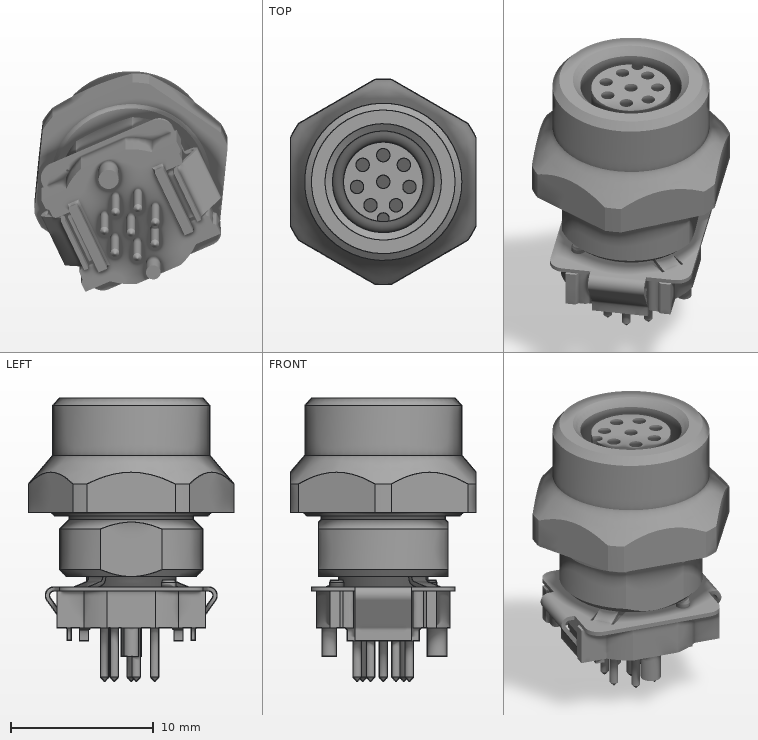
import cadquery as cq
import math


TOTAL_HEIGHT = 19.85
HOUSING_BOTTOM = 7.35
NECK_BOTTOM = 11.35
FLANGE_BOTTOM = 11.6
HEX_BOTTOM = 11.83
HEX_SLOPE_BOTTOM = 13.84
HEX_SLOPE_TOP = 15.85
SEAL_SEAT = 14.89
PLATE_TOP = 6.63
BASE_BOTTOM = 3.77
FOOT_BOTTOM = 2.85
LEG_BOTTOM = 1.77

HEX_ACROSS_FLATS = 13.0
HEX_CORNER_RADIUS = 14.4 / 2
COLLAR_RADIUS = 5.5
COLLAR_CHAMFER_WIDTH = 0.48
COLLAR_CHAMFER_DEPTH = 0.54
FLANGE_RADIUS = 5.6
FLANGE_TIP_RADIUS = 5.35
NECK_RADIUS = 4.35
BARREL_RADIUS = 5.02
BARREL_TOP_CHAMFER = BARREL_RADIUS - NECK_RADIUS
BARREL_BOTTOM_CHAMFER = 0.5
BARREL_ACROSS_FLATS = 9.07
MOUTH_RADIUS = 3.55
MOUTH_CHAMFER = 0.52

FACE_RADIUS = 2.78
FACE_TOP = TOTAL_HEIGHT - 0.7
SHANK_RADIUS = 3.14
CONTACT_CIRCLE_RADIUS = 1.87
CONTACT_SPACING_ANGLE = math.radians(50.5)
CONTACT_STEPS_EACH_WAY = 3
SOCKET_DIAMETER = 0.93
SOCKET_DEPTH = 2.38
PIN_RADIUS = 0.3
PIN_POINT_HEIGHT = 0.32
KEYWAY_RADIUS = 0.42
KEYWAY_CENTRE = 2.58
STUD_RADIUS = 0.5
STUD_CHAMFER_WIDTH = 0.05
STUD_CHAMFER_HEIGHT = 0.18
STUD_TOP = 7.1
STUD_PLACES = [(-3.25, -2.62), (3.25, 2.62)]
LEG_OFFSET = 3.77
SMALL_LEG_DIAMETER = 1.03
LARGE_LEG_DIAMETER = 1.4
BASE_HALF_WIDTH = 4.68
BASE_HALF_LENGTH = 5.2
BULGE_RADIUS = 4.98
SHOULDER_X = 3.73
PILLAR_INNER_X = 3.02
LEDGE_SETBACK = 0.2
LEDGE_INNER_X = 2.42
RECESS_LIP_RADIUS = 0.4
RECESS_HALF_WIDTH = 2.08
RECESS_Y = 3.63
BARB_WIDTH = 3.57
BARB_REACH = 0.4
BARB_EDGE_Z = 4.15
BARB_TOP = 4.65
FOOT_LENGTH = 5.05
FOOT_THICKNESS = 0.65
FOOT_FLARE = 0.15

SHEET = 0.3
PLATE_BOTTOM = PLATE_TOP - SHEET
PLATE_SIZE = 10.05
PLATE_CORNER_RADIUS = 1.03
CLIP_WIDTH = 3.97
CLIP_BEND_RADIUS = 0.6
CLIP_BEND_Y = 5.42
CLIP_LEAN = math.radians(35.5)
CLIP_TAIL_Y = 4.49
CLIP_TAIL_BEND_RADIUS = 0.3
CLIP_TAIL_BOTTOM = 2.9
TAB_ROOT = 5.15
TAB_BEND_START = 4.96
TAB_OUTER = 3.51
TAB_KNEE_HEIGHT = 7.07
TAB_KNEE_RADIUS = 0.34
TAB_WIDTH = 1.39
WINDOW_WIDTH = 1.79
TAB_ANGLES = (-45, 135)


def cylinder(radius, bottom, top, place=(0, 0)):
    """Upright cylinder between two heights."""
    return cq.Workplane("XY", origin=(*place, bottom)).circle(radius).extrude(top - bottom)


def revolve_profile(points):
    """Solid of revolution about Z from a closed (radius, height) profile."""
    return cq.Workplane("XZ").polyline(points).close().revolve(360, (0, 0), (0, 1))


def make_collar():
    """Round collar running down a cone into a hexagon with flats facing +X and -X."""
    profile = [
        (0, HEX_BOTTOM),
        (HEX_CORNER_RADIUS, HEX_BOTTOM),
        (HEX_CORNER_RADIUS, HEX_SLOPE_BOTTOM),
        (COLLAR_RADIUS, HEX_SLOPE_TOP),
        (COLLAR_RADIUS, TOTAL_HEIGHT - COLLAR_CHAMFER_DEPTH),
        (COLLAR_RADIUS - COLLAR_CHAMFER_WIDTH, TOTAL_HEIGHT),
        (0, TOTAL_HEIGHT),
    ]
    hex_across_corners = HEX_ACROSS_FLATS / math.cos(math.pi / 6)
    hexagon = (
        cq.Workplane("XY", origin=(0, 0, HEX_BOTTOM))
        .transformed(rotate=(0, 0, 30))
        .polygon(6, hex_across_corners)
        .extrude(TOTAL_HEIGHT - HEX_BOTTOM)
    )
    return revolve_profile(profile).intersect(hexagon)


def make_barrel():
    """Chamfered barrel with two flats, the neck above it and the tapered flange under the hexagon."""
    barrel = revolve_profile([
        (0, HOUSING_BOTTOM),
        (BARREL_RADIUS - BARREL_BOTTOM_CHAMFER, HOUSING_BOTTOM),
        (BARREL_RADIUS, HOUSING_BOTTOM + BARREL_BOTTOM_CHAMFER),
        (BARREL_RADIUS, NECK_BOTTOM - BARREL_TOP_CHAMFER),
        (NECK_RADIUS, NECK_BOTTOM),
        (0, NECK_BOTTOM),
    ])
    flats = cq.Workplane("XY", origin=(0, 0, HOUSING_BOTTOM)).rect(
        BARREL_ACROSS_FLATS, 2 * BARREL_RADIUS
    ).extrude(NECK_BOTTOM - HOUSING_BOTTOM)
    neck_and_flange = revolve_profile([
        (0, NECK_BOTTOM),
        (NECK_RADIUS, NECK_BOTTOM),
        (NECK_RADIUS, FLANGE_BOTTOM),
        (FLANGE_TIP_RADIUS, FLANGE_BOTTOM),
        (FLANGE_RADIUS, HEX_BOTTOM),
        (0, HEX_BOTTOM),
    ])
    return barrel.intersect(flats).union(neck_and_flange)


def make_housing():
    bore = revolve_profile([
        (0, HOUSING_BOTTOM),
        (SHANK_RADIUS, HOUSING_BOTTOM),
        (SHANK_RADIUS, SEAL_SEAT),
        (MOUTH_RADIUS, SEAL_SEAT),
        (MOUTH_RADIUS, TOTAL_HEIGHT - MOUTH_CHAMFER),
        (MOUTH_RADIUS + MOUTH_CHAMFER, TOTAL_HEIGHT),
        (0, TOTAL_HEIGHT),
    ])
    return make_collar().union(make_barrel()).cut(bore)


def make_o_ring():
    """Ring that fills the gap between the mouth of the housing and the insert."""
    ring_radius = (MOUTH_RADIUS + FACE_RADIUS) / 2
    section_radius = (MOUTH_RADIUS - FACE_RADIUS) / 2
    return (
        cq.Workplane("XZ")
        .center(ring_radius, SEAL_SEAT + section_radius)
        .circle(section_radius)
        .revolve(360, (-ring_radius, 0), (-ring_radius, 1))
    )


def contact_places():
    """The centre contact and the contacts around it, spaced both ways from the one on +Y."""
    places = [(0, 0)]
    for step in range(-CONTACT_STEPS_EACH_WAY, CONTACT_STEPS_EACH_WAY + 1):
        angle = step * CONTACT_SPACING_ANGLE
        places.append((CONTACT_CIRCLE_RADIUS * math.sin(angle), CONTACT_CIRCLE_RADIUS * math.cos(angle)))
    return places


def make_base_block():
    """Block with bulges that follow a circle about the axis and a clip recess at each end."""
    def on_bulge(angle):
        return (BULGE_RADIUS * math.cos(angle), BULGE_RADIUS * math.sin(angle))

    def on_lip(angle):
        return (
            LEDGE_INNER_X - RECESS_LIP_RADIUS * math.sin(angle),
            ledge_y - RECESS_LIP_RADIUS * (1 - math.cos(angle)),
        )

    bulge_start = math.acos(BASE_HALF_WIDTH / BULGE_RADIUS)
    bulge_end = math.acos(SHOULDER_X / BULGE_RADIUS)
    ledge_y = BASE_HALF_LENGTH - LEDGE_SETBACK
    lip_end = math.asin((LEDGE_INNER_X - RECESS_HALF_WIDTH) / RECESS_LIP_RADIUS)
    quarter = (
        cq.Workplane("XY", origin=(0, 0, BASE_BOTTOM))
        .lineTo(BASE_HALF_WIDTH, 0)
        .lineTo(*on_bulge(bulge_start))
        .threePointArc(on_bulge((bulge_start + bulge_end) / 2), on_bulge(bulge_end))
        .lineTo(SHOULDER_X, BASE_HALF_LENGTH)
        .lineTo(PILLAR_INNER_X, BASE_HALF_LENGTH)
        .lineTo(PILLAR_INNER_X - LEDGE_SETBACK, ledge_y)
        .lineTo(LEDGE_INNER_X, ledge_y)
        .threePointArc(on_lip(lip_end / 2), on_lip(lip_end))
        .lineTo(RECESS_HALF_WIDTH, RECESS_Y)
        .lineTo(0, RECESS_Y)
        .close()
        .extrude(PLATE_BOTTOM - BASE_BOTTOM)
    )
    half = quarter.union(quarter.mirror("YZ"))
    return half.union(half.mirror("XZ")).clean()


def make_barb():
    """Ramped block on the back wall of the +Y recess, behind the clip."""
    profile = [
        (RECESS_Y, BASE_BOTTOM),
        (RECESS_Y + BARB_REACH, BASE_BOTTOM),
        (RECESS_Y + BARB_REACH, BARB_EDGE_Z),
        (RECESS_Y, BARB_TOP),
    ]
    return cq.Workplane("YZ").polyline(profile).close().extrude(BARB_WIDTH / 2, both=True)


def make_foot():
    """Standoff bar under the +Y edge of the base, flared where it meets the base."""
    centre_y = RECESS_Y - FOOT_THICKNESS / 2
    straight_top = BASE_BOTTOM - FOOT_FLARE
    bar = (
        cq.Workplane("XY", origin=(0, centre_y, FOOT_BOTTOM))
        .rect(FOOT_LENGTH, FOOT_THICKNESS)
        .extrude(straight_top - FOOT_BOTTOM)
    )
    flare = (
        cq.Workplane("XY", origin=(0, centre_y, straight_top))
        .rect(FOOT_LENGTH, FOOT_THICKNESS)
        .workplane(offset=FOOT_FLARE)
        .center(0, -FOOT_FLARE / 2)
        .rect(FOOT_LENGTH + 2 * FOOT_FLARE, FOOT_THICKNESS + FOOT_FLARE)
        .loft(ruled=True)
    )
    return bar.union(flare)


def make_stud(place):
    """Short chamfered stud that locates the shield plate."""
    profile = [
        (0, PLATE_BOTTOM),
        (STUD_RADIUS, PLATE_BOTTOM),
        (STUD_RADIUS, STUD_TOP - STUD_CHAMFER_HEIGHT),
        (STUD_RADIUS - STUD_CHAMFER_WIDTH, STUD_TOP),
        (0, STUD_TOP),
    ]
    return revolve_profile(profile).translate((*place, 0))


def make_pin(place):
    """Solder pin with a conical point on Z = 0."""
    profile = [
        (0, 0),
        (PIN_RADIUS, PIN_POINT_HEIGHT),
        (PIN_RADIUS, BASE_BOTTOM),
        (0, BASE_BOTTOM),
    ]
    return revolve_profile(profile).translate((*place, 0))


def make_keyway():
    """Round-ended slot down the -Y side of the insert face."""
    height = FACE_TOP - SEAL_SEAT
    slot = cq.Workplane("XY", origin=(0, -KEYWAY_CENTRE, SEAL_SEAT))
    round_end = slot.circle(KEYWAY_RADIUS).extrude(height)
    mouth = slot.center(0, -KEYWAY_RADIUS).rect(2 * KEYWAY_RADIUS, 2 * KEYWAY_RADIUS).extrude(height)
    return round_end.union(mouth)


def make_insert():
    insert = make_base_block()
    for end_detail in (make_barb(), make_foot()):
        insert = insert.union(end_detail).union(end_detail.mirror("XZ"))
    insert = insert.union(cylinder(SHANK_RADIUS, PLATE_BOTTOM, SEAL_SEAT))
    insert = insert.union(cylinder(FACE_RADIUS, SEAL_SEAT, FACE_TOP))
    insert = insert.union(cylinder(SMALL_LEG_DIAMETER / 2, LEG_BOTTOM, BASE_BOTTOM, (-LEG_OFFSET, 0)))
    insert = insert.union(cylinder(LARGE_LEG_DIAMETER / 2, LEG_BOTTOM, BASE_BOTTOM, (LEG_OFFSET, 0)))
    for place in STUD_PLACES:
        insert = insert.union(make_stud(place))
    for place in contact_places():
        insert = insert.union(make_pin(place))
        insert = insert.cut(cylinder(SOCKET_DIAMETER / 2, FACE_TOP - SOCKET_DEPTH, FACE_TOP, place))
    return insert.cut(make_keyway())


def make_clip():
    """Spring clip on the +Y edge: rolls over outward, leans back in and ends in a straight tail."""
    def on_circle(centre, radius, angle):
        return (centre[0] + radius * math.cos(angle), centre[1] + radius * math.sin(angle))

    roll_centre = (CLIP_BEND_Y, PLATE_TOP - CLIP_BEND_RADIUS)
    roll_inner_radius = CLIP_BEND_RADIUS - SHEET
    roll_end = -CLIP_LEAN
    roll_middle = (math.pi / 2 + roll_end) / 2
    roll_outer_end = on_circle(roll_centre, CLIP_BEND_RADIUS, roll_end)

    tail_y = CLIP_TAIL_Y + CLIP_TAIL_BEND_RADIUS
    tail_inner_radius = CLIP_TAIL_BEND_RADIUS + SHEET
    tail_bend_start = math.pi - CLIP_LEAN
    tail_bend_middle = math.pi - CLIP_LEAN / 2
    lean_inward = roll_outer_end[0] - (tail_y - CLIP_TAIL_BEND_RADIUS * math.cos(CLIP_LEAN))
    lean_bottom = roll_outer_end[1] - lean_inward / math.tan(CLIP_LEAN)
    tail_centre = (tail_y, lean_bottom - CLIP_TAIL_BEND_RADIUS * math.sin(CLIP_LEAN))

    return (
        cq.Workplane("YZ")
        .moveTo(PLATE_SIZE / 2, PLATE_TOP)
        .lineTo(CLIP_BEND_Y, PLATE_TOP)
        .threePointArc(on_circle(roll_centre, CLIP_BEND_RADIUS, roll_middle), roll_outer_end)
        .lineTo(*on_circle(tail_centre, CLIP_TAIL_BEND_RADIUS, tail_bend_start))
        .threePointArc(
            on_circle(tail_centre, CLIP_TAIL_BEND_RADIUS, tail_bend_middle),
            on_circle(tail_centre, CLIP_TAIL_BEND_RADIUS, math.pi),
        )
        .lineTo(CLIP_TAIL_Y, CLIP_TAIL_BOTTOM)
        .lineTo(CLIP_TAIL_Y - SHEET, CLIP_TAIL_BOTTOM)
        .lineTo(*on_circle(tail_centre, tail_inner_radius, math.pi))
        .threePointArc(
            on_circle(tail_centre, tail_inner_radius, tail_bend_middle),
            on_circle(tail_centre, tail_inner_radius, tail_bend_start),
        )
        .lineTo(*on_circle(roll_centre, roll_inner_radius, roll_end))
        .threePointArc(
            on_circle(roll_centre, roll_inner_radius, roll_middle),
            (CLIP_BEND_Y, PLATE_BOTTOM),
        )
        .lineTo(PLATE_SIZE / 2, PLATE_BOTTOM)
        .close()
        .extrude(CLIP_WIDTH / 2, both=True)
    )


def make_tab_window():
    """Opening along +X around a tab."""
    window = cq.Workplane("XY", origin=(TAB_ROOT / 2, 0, PLATE_BOTTOM))
    return window.rect(TAB_ROOT, WINDOW_WIDTH).extrude(SHEET)


def make_tab():
    """Tab along +X that slopes up toward the axis and stands against the housing."""
    rise = TAB_KNEE_HEIGHT - PLATE_TOP
    slope = math.atan2(rise, TAB_BEND_START - TAB_OUTER)
    tab_inner = TAB_OUTER - SHEET
    root_inner = TAB_BEND_START - SHEET * math.tan(slope / 2)
    knee_inner = PLATE_BOTTOM + (root_inner - tab_inner) * math.tan(slope)
    profile = [
        (TAB_ROOT, PLATE_TOP),
        (TAB_BEND_START, PLATE_TOP),
        (TAB_OUTER, TAB_KNEE_HEIGHT),
        (TAB_OUTER, HOUSING_BOTTOM),
        (tab_inner, HOUSING_BOTTOM),
        (tab_inner, knee_inner),
        (root_inner, PLATE_BOTTOM),
        (TAB_ROOT, PLATE_BOTTOM),
    ]
    tab = cq.Workplane("XZ").polyline(profile).close().extrude(TAB_WIDTH / 2, both=True)
    knee_bends = [
        (TAB_OUTER, TAB_KNEE_HEIGHT, TAB_KNEE_RADIUS),
        (tab_inner, knee_inner, TAB_KNEE_RADIUS + SHEET),
    ]
    for x, z, radius in knee_bends:
        tab = tab.edges(cq.selectors.NearestToPointSelector((x, 0, z))).fillet(radius)
    return tab


def make_shield():
    shield = (
        cq.Workplane("XY", origin=(0, 0, PLATE_BOTTOM))
        .rect(PLATE_SIZE, PLATE_SIZE)
        .extrude(SHEET)
        .edges("|Z")
        .fillet(PLATE_CORNER_RADIUS)
    )
    shield = shield.cut(cylinder(SHANK_RADIUS, PLATE_BOTTOM, PLATE_TOP))
    for place in STUD_PLACES:
        shield = shield.cut(cylinder(STUD_RADIUS, PLATE_BOTTOM, PLATE_TOP, place))
    clip = make_clip()
    shield = shield.union(clip).union(clip.mirror("XZ"))
    for angle in TAB_ANGLES:
        shield = shield.cut(make_tab_window().rotate((0, 0, 0), (0, 0, 1), angle))
        shield = shield.union(make_tab().rotate((0, 0, 0), (0, 0, 1), angle))
    return shield


housing = make_housing()
o_ring = make_o_ring()
insert = make_insert()
shield = make_shield()

bodies = [housing, o_ring, insert, shield]
result = cq.Compound.makeCompound([body.solids().val() for body in bodies])